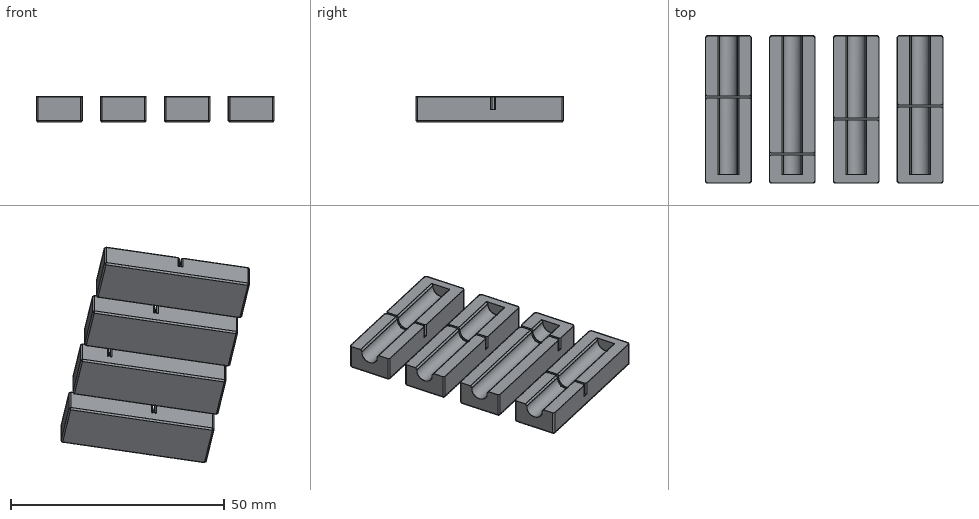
import cadquery as cq
import math

row_length = 55.75
block_width = 10.75
block_length = 34.6
block_height = 6.0
edge_chamfer = 0.4

bore_diameter = 4.2
bore_axis_depth = 0.7
channel_mouth_width = 4.9
rim_chamfer_depth = 0.475
end_wall = 2.0

slot_width = 0.5
slot_depth = 3.05
slot_mouth_chamfer = 0.35
slot_distances = [20.25, 6.85, 15.05, 18.1]

block_pitch = (row_length - block_width) / (len(slot_distances) - 1)
half_width = block_width / 2
front_y = -block_length / 2


def make_blank():
    """Rectangular block with chamfered upright and bottom edges and a sharp top."""
    blank = cq.Workplane("XY").box(block_width, block_length, block_height, centered=(True, True, False))
    return blank.edges("|Z or <Z").chamfer(edge_chamfer)


def make_channel():
    """Cutter for the channel: a bore arc joined to the wider mouth by sloping rims."""
    bore_radius = bore_diameter / 2
    half_mouth = channel_mouth_width / 2
    rim_z = block_height - rim_chamfer_depth
    axis_z = block_height - bore_axis_depth
    rim_x = math.sqrt(bore_radius**2 - (rim_z - axis_z) ** 2)
    return (
        cq.Workplane("XZ", origin=(0, block_length / 2, 0))
        .moveTo(-half_mouth, block_height)
        .lineTo(-rim_x, rim_z)
        .threePointArc((0, axis_z - bore_radius), (rim_x, rim_z))
        .lineTo(half_mouth, block_height)
        .close()
        .extrude(block_length - end_wall)
    )


def make_slot(distance):
    """Cutter for the cross slot, flared where it meets each side of the block."""
    slot_y = front_y + distance
    half_slot = slot_width / 2
    half_mouth = half_slot + slot_mouth_chamfer
    neck_x = half_width - slot_mouth_chamfer
    return (
        cq.Workplane("XY", origin=(0, slot_y, block_height - slot_depth))
        .polyline([
            (-half_width, -half_mouth),
            (-neck_x, -half_slot),
            (neck_x, -half_slot),
            (half_width, -half_mouth),
            (half_width, half_mouth),
            (neck_x, half_slot),
            (-neck_x, half_slot),
            (-half_width, half_mouth),
        ])
        .close()
        .extrude(slot_depth)
    )


def make_block(index, slot_distance):
    """One complete block, moved to its place in the row."""
    block_x = -row_length / 2 + half_width + index * block_pitch
    block = make_blank().cut(make_channel()).cut(make_slot(slot_distance))
    return block.translate((block_x, 0, 0))


blocks = [make_block(index, distance) for index, distance in enumerate(slot_distances)]

result = cq.Compound.makeCompound([block.val() for block in blocks])